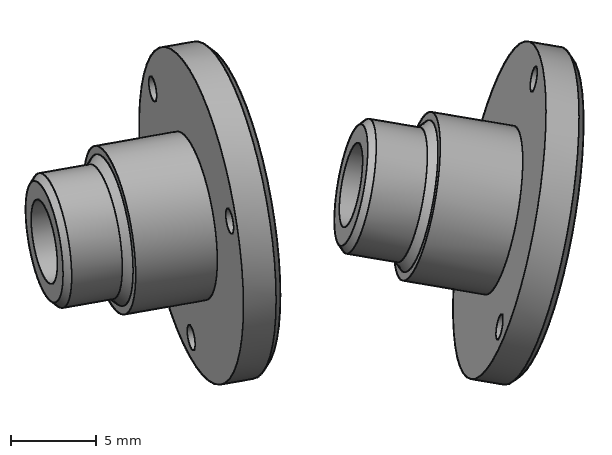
import cadquery as cq

flange_diameter = 20.0
flange_thickness = 2.4
edge_chamfer = 0.4

boss_diameter = 10.0
boss_length = 5.0
spigot_diameter = 8.0
spigot_length = 4.0
root_cone = 0.5

bore_diameter = 5.0
bore_depth = boss_length + spigot_length

hole_count = 3
hole_diameter = 1.5
hole_circle_diameter = 17.0
first_hole_angle = 30.0

tip_y = -(boss_length + spigot_length)


def turned_body():
    """Revolve the half section about the Y axis."""
    flange_radius = flange_diameter / 2
    boss_radius = boss_diameter / 2
    spigot_radius = spigot_diameter / 2
    half_section = [
        (0, flange_thickness),
        (flange_radius - edge_chamfer, flange_thickness),
        (flange_radius, flange_thickness - edge_chamfer),
        (flange_radius, 0),
        (boss_radius, 0),
        (boss_radius, -boss_length),
        (spigot_radius + root_cone, -boss_length),
        (spigot_radius, -boss_length - root_cone),
        (spigot_radius, tip_y + edge_chamfer),
        (spigot_radius - edge_chamfer, tip_y),
        (0, tip_y),
    ]
    return cq.Workplane("XY").polyline(half_section).close().revolve(360, (0, 0, 0), (0, 1, 0))


def bore():
    """Cylinder that runs from the spigot tip into the boss."""
    return cq.Workplane("XZ", origin=(0, tip_y, 0)).circle(bore_diameter / 2).extrude(-bore_depth)


def mounting_holes():
    """Evenly spaced cylinders through the flange."""
    return (
        cq.Workplane("XZ")
        .polarArray(hole_circle_diameter / 2, first_hole_angle, 360, hole_count)
        .circle(hole_diameter / 2)
        .extrude(-flange_thickness)
    )


result = turned_body().cut(bore()).cut(mounting_holes())